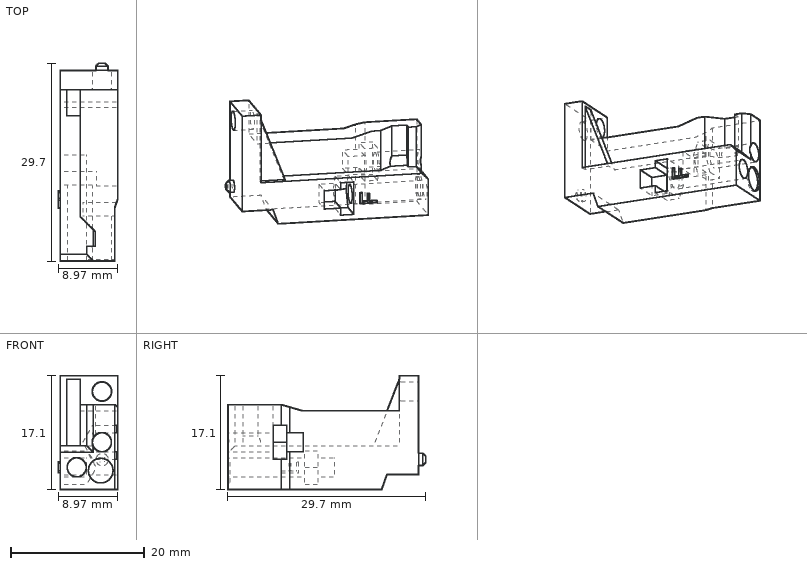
import cadquery as cq
import math

body_width = 8.67
body_length = 28.6
flange_height = 17.08

flange_thickness = 2.9
rear_step_height = 2.24
rear_step_top_y = 23.86
rear_step_base_y = 23.07
front_top_height = 12.74
rear_top_height = 11.84
top_ramp_front_y = 8.0
top_ramp_rear_y = 11.1
flange_front_y = body_length - flange_thickness

relief_depth = 0.45
relief_front_y = 8.0
relief_rear_y = 9.3

channel_floor = 6.56
channel_width = 3.0
channel_chamfer = 1.0
notch_x = 5.25
notch_front_y = 2.2
notch_rear_y = 4.45
lip_x = 4.0

rib_left = 1.0
rib_top = 16.57
rib_front_y = 21.8

hole_diameter = 2.85
low_screw_x = 2.5
low_screw_z = 3.32
high_screw_x = 6.28
high_screw_z = 7.09
flange_hole_z = 14.7
nut_across_flats = 5.04
nut_thickness = 2.0
tip_room = 2.5
low_nut_y = 11.48
high_nut_y = 6.8

pin_diameter = 1.85
pin_length = 1.1
pin_chamfer = 0.47
pin_z = 4.52

recess_diameter = 3.7
recess_depth = 0.3
recess_x = 6.1
recess_z = 2.83

mark_height = 0.3
mark_stroke = 0.31
mark_base_z = 2.49
mark_front_y = 7.96
mark_rear_y = 10.53
mark_long_arm_top_z = 4.14
mark_short_arm_top_z = 3.95
mark_short_arm_y = 9.11


def box(x_range, y_range, z_range):
    """Axis-aligned box between pairs of limits."""
    sizes = [high - low for low, high in (x_range, y_range, z_range)]
    corner = (x_range[0], y_range[0], z_range[0])
    return cq.Workplane("XY").box(*sizes, centered=False).translate(corner)


def along_x(points, x_start, x_end):
    """Extrude a (y, z) outline from x_start to x_end."""
    return cq.Workplane("YZ", origin=(x_start, 0, 0)).polyline(points).close().extrude(x_end - x_start)


def along_y(x, z, diameter, y_start, y_end):
    """Cylinder parallel to Y."""
    plane = cq.Workplane("XZ", origin=(x, y_start, z))
    return plane.circle(diameter / 2).extrude(y_start - y_end)


def make_block():
    """Block with a tall rear flange, a ramped top and a stepped underside."""
    profile = [
        (0, 0),
        (rear_step_base_y, 0),
        (rear_step_top_y, rear_step_height),
        (body_length, rear_step_height),
        (body_length, flange_height),
        (flange_front_y, flange_height),
        (flange_front_y, rear_top_height),
        (top_ramp_rear_y, rear_top_height),
        (top_ramp_front_y, front_top_height),
        (0, front_top_height),
    ]
    return along_x(profile, 0, body_width)


def make_relief():
    """Full-height cut that narrows the front end on the +X side."""
    relief_x = body_width - relief_depth
    outline = [
        (relief_x, 0),
        (body_width, 0),
        (body_width, relief_rear_y),
        (relief_x, relief_front_y),
    ]
    return cq.Workplane("XY").polyline(outline).close().extrude(flange_height)


def make_channel():
    """Channel with a 45 degree notch, a front lip and a chamfered front edge."""
    outline = [
        (0, 0),
        (lip_x + channel_chamfer, 0),
        (lip_x, channel_chamfer),
        (lip_x, notch_front_y),
        (notch_x, notch_front_y),
        (notch_x, notch_rear_y),
        (channel_width, notch_rear_y + notch_x - channel_width),
        (channel_width, flange_front_y),
        (0, flange_front_y),
    ]
    section = [
        (0, channel_floor - channel_chamfer),
        (channel_chamfer, channel_floor),
        (flange_front_y, channel_floor),
        (flange_front_y, flange_height),
        (0, flange_height),
    ]
    prism = cq.Workplane("XY").polyline(outline).close().extrude(flange_height)
    return prism.intersect(along_x(section, 0, body_width))


def make_rib():
    """Triangular rib along the channel wall."""
    triangle = [
        (rib_front_y, channel_floor),
        (flange_front_y, channel_floor),
        (flange_front_y, rib_top),
    ]
    return along_x(triangle, rib_left, channel_width)


def make_screw_pocket(screw_x, screw_z, nut_y, open_side):
    """Screw hole from the front, hexagonal nut slot and tip slot open to side -1 (-X) or +1 (+X)."""
    nut_rear_y = nut_y + nut_thickness
    tip_end_y = nut_rear_y + tip_room
    hole = along_y(screw_x, screw_z, hole_diameter, 0, nut_y)

    half_flats = nut_across_flats / 2
    corner_radius = nut_across_flats / math.sqrt(3)
    opening_x = body_width if open_side > 0 else 0
    flat_end_x = screw_x - open_side * corner_radius / 2
    corner_x = screw_x - open_side * corner_radius
    nut_outline = [
        (opening_x, screw_z - half_flats),
        (flat_end_x, screw_z - half_flats),
        (corner_x, screw_z),
        (flat_end_x, screw_z + half_flats),
        (opening_x, screw_z + half_flats),
    ]
    nut_plane = cq.Workplane("XZ", origin=(0, nut_y, 0))
    nut_slot = nut_plane.polyline(nut_outline).close().extrude(-nut_thickness)

    hole_radius = hole_diameter / 2
    tip_slot_end_x = screw_x - open_side * hole_radius
    tip_slot = box(
        sorted((opening_x, tip_slot_end_x)),
        (nut_rear_y, tip_end_y),
        (screw_z - hole_radius, screw_z + hole_radius),
    )
    return hole.union(nut_slot).union(tip_slot)


def make_pin():
    """Chamfered locating pin, rooted inside the rear face."""
    pin = along_y(high_screw_x, pin_z, pin_diameter, flange_front_y, body_length + pin_length)
    return pin.faces(">Y").chamfer(pin_chamfer)


def make_mark():
    """Raised F: a stem along Y with two arms pointing up."""
    depth = (-mark_height, 0)
    stem_top_z = mark_base_z + mark_stroke
    mark = box(depth, (mark_front_y, mark_rear_y), (mark_base_z, stem_top_z))
    arms = [
        (mark_rear_y - mark_stroke, mark_long_arm_top_z),
        (mark_short_arm_y, mark_short_arm_top_z),
    ]
    for arm_y, arm_top_z in arms:
        mark = mark.union(box(depth, (arm_y, arm_y + mark_stroke), (mark_base_z, arm_top_z)))
    return mark


result = make_block().cut(make_relief()).cut(make_channel()).union(make_rib())
result = result.cut(make_screw_pocket(low_screw_x, low_screw_z, low_nut_y, -1))
result = result.cut(make_screw_pocket(high_screw_x, high_screw_z, high_nut_y, 1))
result = result.cut(along_y(high_screw_x, flange_hole_z, hole_diameter, flange_front_y, body_length))
result = result.cut(along_y(recess_x, recess_z, recess_diameter, 0, recess_depth))
result = result.union(make_pin()).union(make_mark())